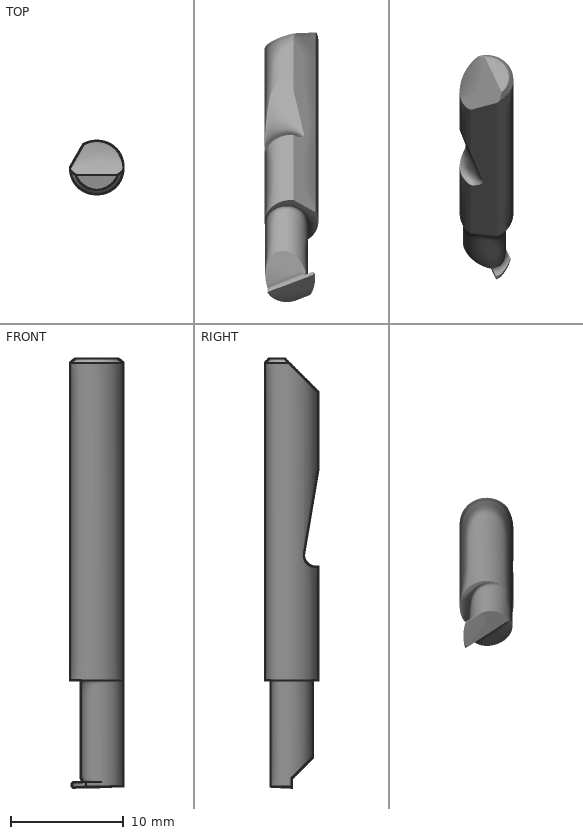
import cadquery as cq
import math


SHANK_DIAMETER = 4.7625
SHANK_RADIUS = SHANK_DIAMETER / 2
OVERALL_LENGTH = 38.09
REACH = 9.52
SHANK_LENGTH = OVERALL_LENGTH - REACH
END_CHAMFER = 0.4
FLAT_ARC_ANGLE = 60.0
END_BEVEL_Y = -0.65

NOTCH_TOP_DROP = 9.75
NOTCH_FLOOR_DROP = 18.47
NOTCH_ANGLE = 9.6
NOTCH_RADIUS = 1.0

NECK_DIAMETER = 3.81
NECK_RADIUS = NECK_DIAMETER / 2
NECK_X = SHANK_RADIUS - NECK_RADIUS
BOTTOM_RELIEF = 0.12
NECK_LENGTH = REACH - BOTTOM_RELIEF
RAKE_FACE_HEIGHT = 0.82
NECK_BEVEL_DEPTH = 0.17
NECK_BEVEL_HEIGHT = 0.4

TIP_BOTTOM = -REACH
TIP_THICKNESS = 0.5
TIP_TOP = TIP_BOTTOM + TIP_THICKNESS
TIP_NOSE_X = -2.26
TIP_NOSE_CHAMFER = 0.2
TIP_ARC_MID = (-1.7, -1.13)
TIP_FLANK_X = -0.95
TIP_HEEL_X = 0.56
TIP_BACK_X = 1.25
TIP_END_RISE = 0.07
TIP_SIDE_RISE = 0.1

CUT_WIDTH = 2 * SHANK_DIAMETER


def cut_along_x(points):
    """Prism through the whole width, from an outline of (Y, Z) points."""
    return cq.Workplane("YZ").polyline(points).close().extrude(CUT_WIDTH / 2, both=True)


def make_side_flat():
    """Block outside the chord that runs from the -X point of the shank towards +Y."""
    normal_angle = 180 - FLAT_ARC_ANGLE / 2
    distance = SHANK_RADIUS * math.cos(math.radians(FLAT_ARC_ANGLE / 2))
    block = cq.Workplane("XY").box(CUT_WIDTH, CUT_WIDTH, SHANK_LENGTH, centered=(False, True, False))
    return block.translate((distance, 0, 0)).rotate((0, 0, 0), (0, 0, 1), normal_angle)


def make_end_bevel():
    """Wedge above the 45 degree slope on the +Y side of the shank end."""
    run = CUT_WIDTH / 2
    return cut_along_x([
        (END_BEVEL_Y, SHANK_LENGTH),
        (END_BEVEL_Y + run, SHANK_LENGTH),
        (END_BEVEL_Y + run, SHANK_LENGTH - run),
    ])


def make_notch():
    """Sloping notch with a square shoulder and a rounded root."""
    top_z = SHANK_LENGTH - NOTCH_TOP_DROP
    floor_z = SHANK_LENGTH - NOTCH_FLOOR_DROP
    root_y = SHANK_RADIUS - (top_z - floor_z) * math.tan(math.radians(NOTCH_ANGLE))
    notch = cut_along_x([
        (SHANK_RADIUS, top_z),
        (root_y, floor_z),
        (CUT_WIDTH, floor_z),
        (CUT_WIDTH, top_z),
    ])
    return notch.edges("|X").edges("<Y").fillet(NOTCH_RADIUS)


def make_shank():
    shank = cq.Workplane("XY").circle(SHANK_RADIUS).extrude(SHANK_LENGTH)
    shank = shank.faces(">Z").chamfer(END_CHAMFER)
    return shank.cut(make_side_flat()).cut(make_end_bevel()).cut(make_notch())


def make_neck():
    """Offset cylinder, sloped away at 45 degrees on +Y down to the flat at Y = 0."""
    neck = cq.Workplane("XY").center(NECK_X, 0).circle(NECK_RADIUS).extrude(-NECK_LENGTH)
    rake_top = TIP_BOTTOM + RAKE_FACE_HEIGHT
    slope = cut_along_x([
        (0, -REACH),
        (0, rake_top),
        (CUT_WIDTH, rake_top + CUT_WIDTH),
        (CUT_WIDTH, -REACH),
    ])
    side_x = NECK_X - NECK_RADIUS
    bevel = (
        cq.Workplane("XZ")
        .polyline([
            (side_x, TIP_TOP + NECK_BEVEL_HEIGHT),
            (side_x + NECK_BEVEL_DEPTH, TIP_TOP),
            (side_x, TIP_TOP),
        ])
        .close()
        .extrude(CUT_WIDTH / 2, both=True)
    )
    return neck.cut(slope).cut(bevel)


def make_tip():
    """Thin cutting plate behind the rake face, with clearance on its bottom."""
    heel_y = -math.sqrt(NECK_RADIUS**2 - (TIP_HEEL_X - NECK_X) ** 2)
    outline = (
        cq.Workplane("XY", origin=(0, 0, TIP_BOTTOM))
        .moveTo(TIP_NOSE_X, 0)
        .threePointArc(TIP_ARC_MID, (TIP_FLANK_X, heel_y))
        .lineTo(TIP_HEEL_X, heel_y)
        .lineTo(TIP_BACK_X, 0)
        .close()
        .extrude(TIP_THICKNESS)
    )
    shoulder_x = TIP_NOSE_X + TIP_NOSE_CHAMFER
    profile = (
        cq.Workplane("XZ")
        .polyline([
            (TIP_NOSE_X, TIP_TOP - TIP_NOSE_CHAMFER),
            (shoulder_x, TIP_TOP),
            (TIP_BACK_X, TIP_TOP),
            (TIP_BACK_X, TIP_BOTTOM + TIP_END_RISE),
            (shoulder_x, TIP_BOTTOM),
            (TIP_NOSE_X, TIP_BOTTOM + TIP_NOSE_CHAMFER),
        ])
        .close()
        .extrude(NECK_DIAMETER)
    )
    clearance = cut_along_x([
        (0, TIP_BOTTOM),
        (-NECK_RADIUS, TIP_BOTTOM + TIP_SIDE_RISE),
        (-NECK_RADIUS, TIP_BOTTOM),
    ])
    return outline.intersect(profile).cut(clearance)


result = make_shank().union(make_neck()).union(make_tip())